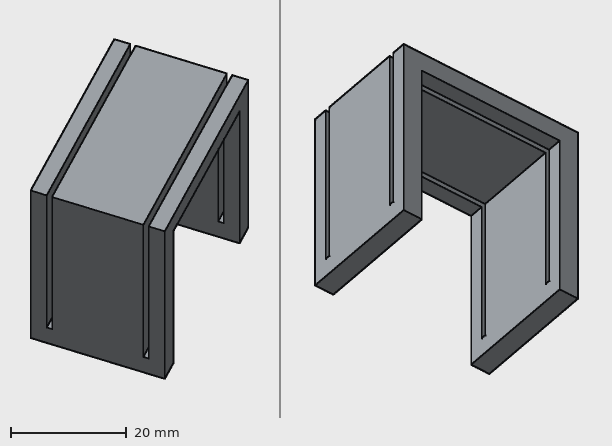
import cadquery as cq

width = 25.0
depth = 38.0
height = 38.0
wall = 4.0

slot_width = 1.0
rail_width = 3.0
foot_height = wall


def bottom_block(x_size, y_size, z_size):
    """Block centred in X and Y, standing on Z = 0."""
    return cq.Workplane("XY").box(x_size, y_size, z_size, centered=(True, True, False))


body = bottom_block(width, depth, height)
channel = bottom_block(width, depth - 2 * wall, height - wall)
result = body.cut(channel)

slot_offset = width / 2 - rail_width - slot_width / 2
for side in (-1, 1):
    slot = bottom_block(slot_width, depth, height - foot_height)
    result = result.cut(slot.translate((side * slot_offset, 0, foot_height)))